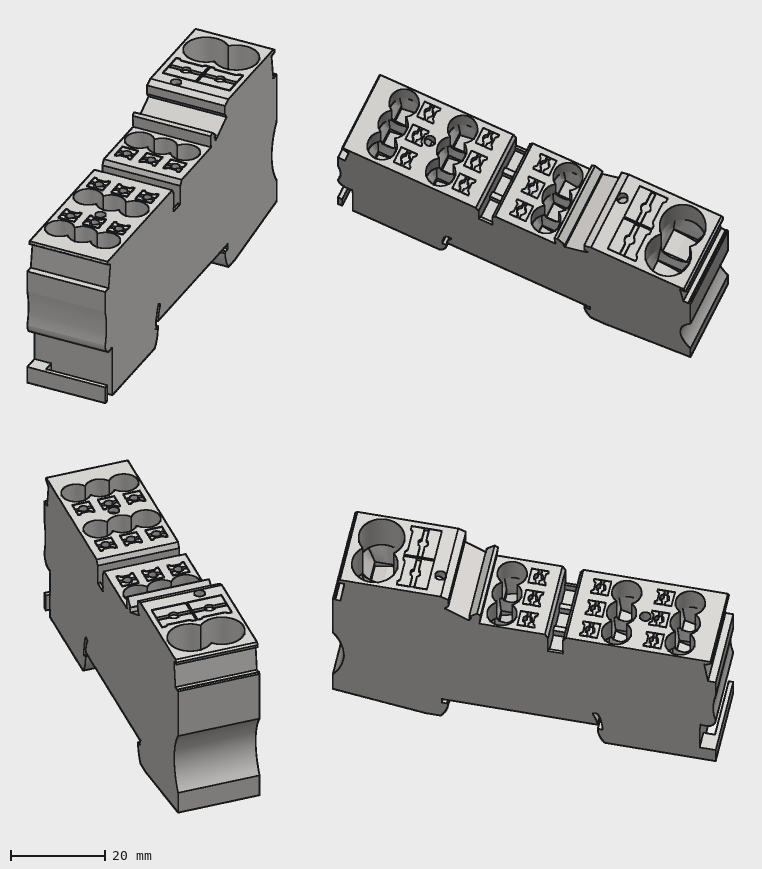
import cadquery as cq

LENGTH = 83.2
WIDTH = 18.5
HEIGHT = 42.4
END_Y = LENGTH / 2
SIDE_X = WIDTH / 2
DECK_Z = 35.1
RAIL_Z = 6.0
HOOK_Z = 4.75

GROOVE_Y = (-8.4, -5.2)
GROOVE_FLOOR_Z = 29.4
GROOVE_CHAMFER_Z = 33.95
GROOVE_CHAMFER = 0.7
GROOVE_POCKETS = ((-6.15, 5.0), (0.0, 4.8), (6.15, 5.0))
GROOVE_POCKET_DEPTH = 1.7

RECESS_Y = -38.1
RECESS_Z = (4.0, 12.1)
RECESS_TAPER_Z = 10.1
RECESS_TAPER = 0.2
FOOT_THICKNESS = 1.0
FOOT_ROOT_WIDTH = 4.0

SMALL_RADIUS = 3.2
SMALL_PITCH = 5.4
SMALL_SQUARE = (3.7, 3.3)
SMALL_MOUTH_DEPTH = 5.65
SMALL_FUNNEL_DEPTH = 3.3
SMALL_SHAFT_DEPTH = 1.7
BIG_RADIUS = 4.9
BIG_PITCH = 7.15
BIG_ENTRY_Y = 33.6
BIG_SQUARE = (5.6, 5.7)
BIG_SQUARE_PITCH = 7.8
BIG_SQUARE_SHIFT_Y = -0.75
BIG_MOUTH_DEPTH = 9.15
BIG_FUNNEL_DEPTH = 4.2
BIG_SHAFT_DEPTH = 1.7
BIG_MID_RISE = 0.9
FLOOR_RISE = 1.25

ROW_X = -0.25
ROW_SPACING = 13.8
FIRST_ENTRY_Y = -19.3
FIRST_LEVER_Y = -13.65
SMALL_ROWS = (
    (5.6, -0.1, 1),
    (FIRST_ENTRY_Y, FIRST_LEVER_Y, -1),
    (FIRST_ENTRY_Y - ROW_SPACING, FIRST_LEVER_Y - ROW_SPACING, -1),
)

PANEL_DEPTH = 0.2
SMALL_LEVER_SIZE = 3.75
SMALL_LEVER_PITCH = 5.7
SMALL_LEVER_SLOT = 0.75
SMALL_SLOT_DEPTH = 1.7
SMALL_LEVER_HOLE = 1.0
SMALL_NOTCH = 1.8
BIG_LEVER_SIZE = (7.7, 6.6)
BIG_LEVER_PITCH = 8.1
BIG_LEVER_Y = 24.7
BIG_LEVER_SLOT = 1.0
BIG_SLOT_DEPTH = 0.8
BIG_LEVER_HOLE = 1.1
BIG_NOTCH = 5.0
NOTCH_DEPTH = 0.5

INDICATOR_RADIUS = 1.2
INDICATOR_DEPTH = 3.3
INDICATOR_RISE = 2.1
INDICATORS = (
    (-3.75, 19.3, HEIGHT, (0, INDICATOR_RISE)),
    (ROW_X, -24.5, DECK_Z, (INDICATOR_RISE, 0, 0)),
)


def box(x_range, y_range, z_range):
    """Axis-aligned box between the given limits."""
    (x0, x1), (y0, y1), (z0, z1) = x_range, y_range, z_range
    return cq.Workplane("XY").box(x1 - x0, y1 - y0, z1 - z0, centered=False).translate((x0, y0, z0))


def make_body():
    """Side outline in (Y, Z), starting at the +Y end of the upper deck, extruded across the width."""
    groove_low, groove_high = GROOVE_Y
    outline = (
        cq.Workplane("YZ")
        .moveTo(40.0, HEIGHT)
        .lineTo(40.5, 42.0)
        .lineTo(40.5, 41.4)
        .lineTo(39.1, 41.2)
        .lineTo(39.9, DECK_Z)
        .lineTo(41.0, DECK_Z)
        .lineTo(41.3, 35.45)
        .lineTo(END_Y, DECK_Z)
        .lineTo(END_Y, 23.4)
        .threePointArc((39.2, 15.9), (END_Y, 8.4))
        .lineTo(END_Y, 3.2)
        .lineTo(21.4, 0)
        .lineTo(18.1, 0)
        .threePointArc((17.0, 2.25), (16.5, 4.4))
        .lineTo(16.8, HOOK_Z)
        .lineTo(17.9, HOOK_Z)
        .lineTo(17.9, RAIL_Z)
        .lineTo(-16.0, RAIL_Z)
        .threePointArc((-15.6, 7.9), (-14.9, 9.5))
        .threePointArc((-15.6, 10.0), (-16.1, 9.5))
        .threePointArc((-16.8, 7.1), (-17.0, 4.5))
        .lineTo(-16.0, HOOK_Z)
        .threePointArc((-16.3, 2.25), (-17.5, 0))
        .lineTo(-END_Y, 0)
        .lineTo(-END_Y, RECESS_Z[0])
        .lineTo(RECESS_Y, RECESS_Z[0])
        .lineTo(RECESS_Y, RECESS_TAPER_Z)
        .lineTo(RECESS_Y - RECESS_TAPER, RECESS_Z[1])
        .lineTo(-40.1, RECESS_Z[1])
        .threePointArc((-41.2, 13.1), (-END_Y, 14.6))
        .threePointArc((-41.0, 18.8), (-END_Y, 23.05))
        .lineTo(-END_Y, 28.1)
        .lineTo(-39.9, 28.1)
        .lineTo(-39.1, 33.6)
        .lineTo(-40.7, 34.5)
        .lineTo(-40.4, DECK_Z)
        .lineTo(groove_low - GROOVE_CHAMFER, DECK_Z)
        .lineTo(groove_low, GROOVE_CHAMFER_Z)
        .lineTo(groove_low, GROOVE_FLOOR_Z)
        .lineTo(groove_high, GROOVE_FLOOR_Z)
        .lineTo(groove_high, GROOVE_CHAMFER_Z)
        .lineTo(groove_high + GROOVE_CHAMFER, DECK_Z)
        .lineTo(9.7, DECK_Z)
        .lineTo(9.5, 38.0)
        .lineTo(10.2, 38.5)
        .lineTo(12.0, 36.9)
        .lineTo(11.6, 36.5)
        .lineTo(12.0, 35.6)
        .lineTo(17.2, 38.4)
        .lineTo(16.5, 39.5)
        .lineTo(16.5, 41.7)
        .lineTo(18.1, HEIGHT)
        .close()
    )
    return outline.extrude(SIDE_X, both=True)


def foot_gap():
    """Gap that frees the thin foot from the recess wall, open below and towards +X."""
    return box(
        (-SIDE_X + FOOT_ROOT_WIDTH, SIDE_X),
        (-END_Y + FOOT_THICKNESS, RECESS_Y),
        (0, RECESS_Z[0]),
    )


def groove_pockets():
    """Shallow pockets side by side in the groove floor."""
    pockets = cq.Workplane("XY")
    for x, width in GROOVE_POCKETS:
        pockets = pockets.union(box(
            (x - width / 2, x + width / 2),
            GROOVE_Y,
            (GROOVE_FLOOR_Z - GROOVE_POCKET_DEPTH, GROOVE_FLOOR_Z),
        ))
    return pockets


def shaped_floor_shaft(x, y, size, top, depth, floor_rises):
    """Rectangular shaft; floor_rises are floor heights at evenly spaced stations from -Y to +Y."""
    size_x, size_y = size
    start_y = y - size_y / 2
    step_y = size_y / (len(floor_rises) - 1)
    floor = top - depth
    floor_points = [(start_y + i * step_y, floor + rise) for i, rise in enumerate(floor_rises)]
    return (
        cq.Workplane("YZ", origin=(x, 0, 0))
        .polyline(floor_points + [(start_y + size_y, top), (start_y, top)])
        .close()
        .extrude(size_x / 2, both=True)
    )


def wire_entry(x, y, top, radius, square, square_shift, depths, floor_rises):
    """Round mouth, funnel and shaft; the square is shifted from the mouth centre by (X, Y)."""
    mouth_depth, funnel_depth, shaft_depth = depths
    shift_x, shift_y = square_shift
    funnel_top = top - mouth_depth
    shaft_top = funnel_top - funnel_depth
    mouth = cq.Workplane("XY", origin=(x, y, funnel_top)).circle(radius).extrude(mouth_depth)
    funnel = (
        cq.Workplane("XY", origin=(x, y, funnel_top))
        .circle(radius)
        .workplane(offset=-funnel_depth)
        .center(shift_x, shift_y)
        .rect(*square)
        .loft()
    )
    shaft = shaped_floor_shaft(x + shift_x, y + shift_y, square, shaft_top, shaft_depth, floor_rises)
    return mouth.union(funnel).union(shaft)


def lever(x, y, top, size, slot_width, slot_depth, hole_radius, notch_width, notch_side):
    """Lever panel whose edge on the notch_side (+1 or -1 in Y) steps inwards."""
    size_x, size_y = size
    edge = notch_side * size_y / 2
    inner = edge - notch_side * NOTCH_DEPTH
    half = size_x / 2
    notch_inner = notch_width / 2
    notch_outer = notch_inner + NOTCH_DEPTH
    panel = (
        cq.Workplane("XY", origin=(x, y, top))
        .polyline([
            (-half, -edge), (half, -edge), (half, edge), (notch_outer, edge),
            (notch_inner, inner), (-notch_inner, inner), (-notch_outer, edge), (-half, edge),
        ])
        .close()
        .extrude(-PANEL_DEPTH)
    )
    slot = cq.Workplane("XY", origin=(x, y, top)).rect(size_x, slot_width).extrude(-slot_depth)
    hole = cq.Workplane("XY", origin=(x, y, top)).circle(hole_radius).extrude(-slot_depth)
    return panel.union(slot).union(hole)


def cut_small_terminals(body):
    depths = (SMALL_MOUTH_DEPTH, SMALL_FUNNEL_DEPTH, SMALL_SHAFT_DEPTH)
    for entry_y, lever_y, slope in SMALL_ROWS:
        floor_rises = (FLOOR_RISE, 0) if slope > 0 else (0, FLOOR_RISE)
        lever_side = 1 if lever_y > entry_y else -1
        for column in (-1, 0, 1):
            square_shift = (column * (SMALL_LEVER_PITCH - SMALL_PITCH), 0)
            body = body.cut(wire_entry(
                ROW_X + column * SMALL_PITCH, entry_y, DECK_Z,
                SMALL_RADIUS, SMALL_SQUARE, square_shift, depths, floor_rises,
            ))
            body = body.cut(lever(
                ROW_X + column * SMALL_LEVER_PITCH, lever_y, DECK_Z,
                (SMALL_LEVER_SIZE, SMALL_LEVER_SIZE),
                SMALL_LEVER_SLOT, SMALL_SLOT_DEPTH, SMALL_LEVER_HOLE, SMALL_NOTCH, lever_side,
            ))
    return body


def cut_big_terminals(body):
    depths = (BIG_MOUTH_DEPTH, BIG_FUNNEL_DEPTH, BIG_SHAFT_DEPTH)
    for side in (-1, 1):
        square_shift = (side * (BIG_SQUARE_PITCH - BIG_PITCH) / 2, BIG_SQUARE_SHIFT_Y)
        body = body.cut(wire_entry(
            side * BIG_PITCH / 2, BIG_ENTRY_Y, HEIGHT,
            BIG_RADIUS, BIG_SQUARE, square_shift, depths, (FLOOR_RISE, BIG_MID_RISE, 0),
        ))
        body = body.cut(lever(
            side * BIG_LEVER_PITCH / 2, BIG_LEVER_Y, HEIGHT, BIG_LEVER_SIZE,
            BIG_LEVER_SLOT, BIG_SLOT_DEPTH, BIG_LEVER_HOLE, BIG_NOTCH, 1,
        ))
    return body


def cut_indicators(body):
    size = (2 * INDICATOR_RADIUS, 2 * INDICATOR_RADIUS)
    for x, y, top, floor_rises in INDICATORS:
        hole = cq.Workplane("XY", origin=(x, y, top)).circle(INDICATOR_RADIUS).extrude(-INDICATOR_DEPTH)
        shaft = shaped_floor_shaft(x, y, size, top, INDICATOR_DEPTH, floor_rises)
        body = body.cut(hole.intersect(shaft))
    return body


body = make_body().cut(foot_gap()).cut(groove_pockets())
body = cut_small_terminals(body)
body = cut_big_terminals(body)
result = cut_indicators(body)